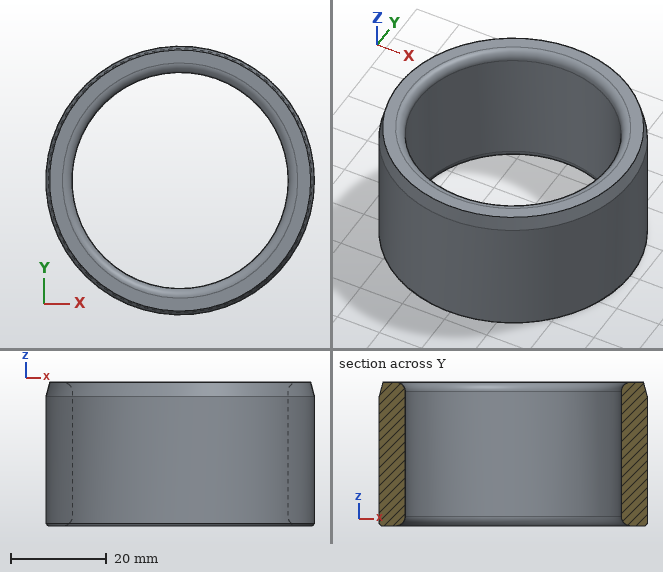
import cadquery as cq
import math

outer_diameter = 56.0
bore_diameter = 45.0
height = 30.0
lead_in_height = 3.0
lead_in_angle = 15.0
bore_mouth_radius = 2.0
bottom_chamfer = 0.5

outer_radius = outer_diameter / 2
bore_radius = bore_diameter / 2
lead_in_depth = lead_in_height * math.tan(math.radians(lead_in_angle))


def make_bushing():
    """Plain tube with its wall section tapered at the outer top edge."""
    return (
        cq.Workplane("XZ")
        .moveTo(bore_radius, 0)
        .lineTo(outer_radius, 0)
        .lineTo(outer_radius, height - lead_in_height)
        .lineTo(outer_radius - lead_in_depth, height)
        .lineTo(bore_radius, height)
        .close()
        .revolve(360, (0, 0, 0), (0, 1, 0))
    )


def finish_edges(body):
    """Round both mouths of the bore and bevel the outer bottom edge."""
    bore_mouths = cq.selectors.RadiusNthSelector(0)
    outer_rim = cq.selectors.RadiusNthSelector(-1)
    body = body.edges("%CIRCLE").edges(bore_mouths).fillet(bore_mouth_radius)
    return body.faces("<Z").edges(outer_rim).chamfer(bottom_chamfer)


result = finish_edges(make_bushing())